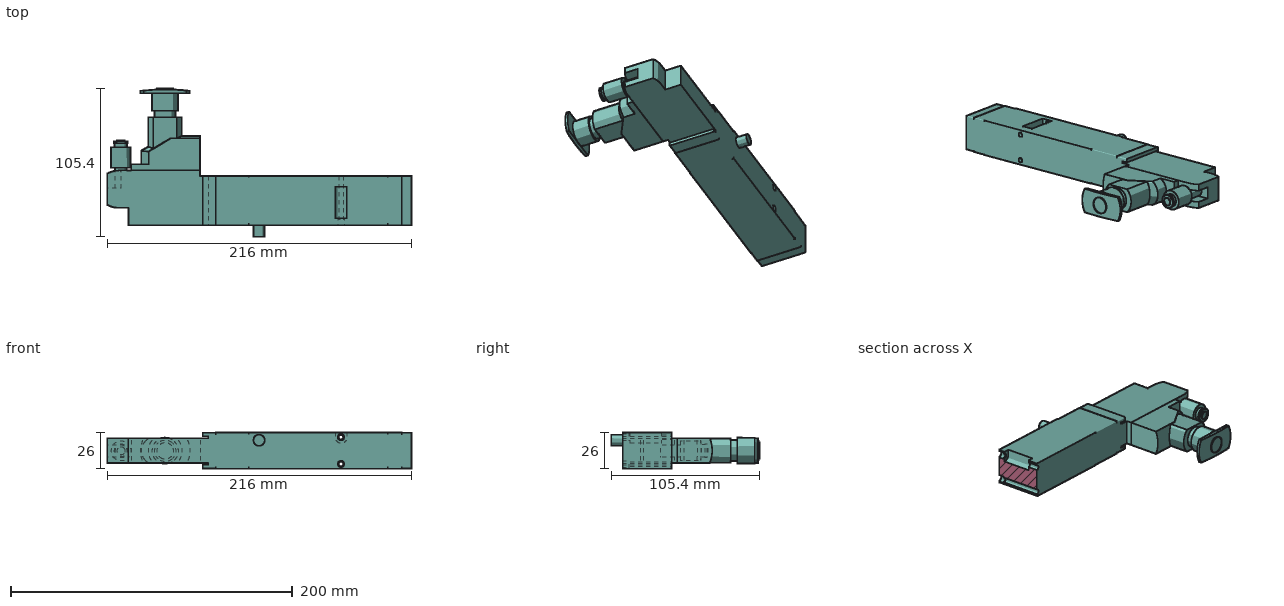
import cadquery as cq
import math

LENGTH = 216.0
BODY_HEIGHT = 26.0
BODY_DEPTH = 35.0
BODY_START = 67.8
CAP_LEFT_END = 76.9
CAP_RIGHT_START = 208.8
CAP_STEP = 0.2
ROUND_LEFT_END = 100.5
ROUND_RIGHT_START = 199.0
EDGE_RADIUS = 1.0
BACK_EDGE_RADIUS = 0.6

RELIEF_DEPTH = 3.9
LIP_INNER_HEIGHT = 20.0

PILOT_HEIGHT = 17.7
PILOT_DEPTH = 38.9
PILOT_END = 65.8
SHOULDER_X = 15.1
NOSE_FRONT_Y = 12.3
NOSE_ROUND_RUN = 8.2
NOSE_ROUND_RISE = 2.2

PIN_DIAMETER = 8.0
PIN_LENGTH = 8.2
PIN_X = 107.7
PIN_Z = 7.3
HOLE_DIAMETER = 3.2
COUNTERBORE_DIAMETER = 4.5
COUNTERBORE_DEPTH = 4.3
HOLE_X = 165.8
HOLE_Z = 9.5
GROOVE_WIDTH = 8.5
GROOVE_DEPTH = 7.5
GROOVE_START_Y = 5.2
GROOVE_LENGTH = 22.0

SCREW_X = 9.7
SHANK_DIAMETER = 8.5
SLOT_FLOOR_Y = 26.8
KNURL_DIAMETER = 14.0
KNURL_START_Y = 40.8
KNURL_END_Y = 55.5
SCREW_NECK_DIAMETER = 9.0
COLLAR_DIAMETER = 9.7
COLLAR_START_Y = 58.0
COLLAR_END_Y = 59.5
SCREW_TIP_DIAMETER = 5.6
SCREW_TIP_END_Y = 60.2

FLANGE_START = 17.0
FLANGE_END_Y = 43.5
BLOCK_NOSE_X = 24.2
BLOCK_END_Y = 63.5
NOSE_CROWN = 5.5
END_CROWN = 1.7
SLANT_CROWN = 3.2
SLANT_START = (29.4, 52.2)
SLANT_END = (45.3, 61.7)

KNOB_X = 41.0
GUIDE_DIAMETER = 24.0
GUIDE_THICKNESS = 17.3
GUIDE_END_Y = 76.6
NECK_DIAMETER = 15.1
NECK_END_Y = 81.2
STEM_DIAMETER = 18.5
STEM_END_Y = 93.5
CAP_DIAMETER = 35.2
CAP_RIM_HEIGHT = 2.0
DOME_END_Y = 96.5
BUTTON_DIAMETER = 11.7
CAP_END_Y = 97.2


def box(x_range, y_range, z_range):
    """Box between the given (low, high) limits."""
    (x0, x1), (y0, y1), (z0, z1) = x_range, y_range, z_range
    return cq.Workplane("XY").box(x1 - x0, y1 - y0, z1 - z0, centered=False).translate((x0, y0, z0))


def centred(height):
    """Limits of a span that is centred on the middle plane."""
    return (-height / 2, height / 2)


def cylinder_y(x, z, y0, y1, diameter):
    """Cylinder along Y from y0 to y1."""
    plane = cq.Plane(origin=(x, y0, z), xDir=(1, 0, 0), normal=(0, 1, 0))
    return cq.Workplane(plane).circle(diameter / 2).extrude(y1 - y0)


def rounded_zone(x0, x1, height, back_radius):
    """Stretch of the valve body whose four long edges are rounded."""
    zone = box((x0, x1), (0, BODY_DEPTH), centred(height))
    zone = zone.faces("<Y").edges("|X").fillet(EDGE_RADIUS)
    return zone.faces(">Y").edges("|X").fillet(back_radius)


def valve_body():
    """Full-height body: a plain middle, rounded zones and slightly lower cover zones."""
    cap_height = BODY_HEIGHT - 2 * CAP_STEP
    body = box((ROUND_LEFT_END, ROUND_RIGHT_START), (0, BODY_DEPTH), centred(BODY_HEIGHT))
    for x0, x1 in ((CAP_LEFT_END, ROUND_LEFT_END), (ROUND_RIGHT_START, CAP_RIGHT_START)):
        body = body.union(rounded_zone(x0, x1, BODY_HEIGHT, BACK_EDGE_RADIUS))
    for x0, x1 in ((BODY_START, CAP_LEFT_END), (CAP_RIGHT_START, LENGTH)):
        body = body.union(rounded_zone(x0, x1, cap_height, EDGE_RADIUS))
    relief = box((BODY_START, BODY_START + RELIEF_DEPTH), (0, BODY_DEPTH), centred(LIP_INNER_HEIGHT))
    return body.cut(relief)


def pilot_section():
    """Thinner left part with a rounded nose and a slot for the screw shank."""
    front_y = NOSE_FRONT_Y + NOSE_ROUND_RISE
    back_y = PILOT_DEPTH - NOSE_ROUND_RISE
    radius = (NOSE_ROUND_RUN**2 + NOSE_ROUND_RISE**2) / (2 * NOSE_ROUND_RISE)
    mid_x = NOSE_ROUND_RUN / 2
    mid_drop = radius - math.sqrt(radius**2 - mid_x**2)
    outline = (
        cq.Workplane("XY")
        .moveTo(SHOULDER_X, 0)
        .lineTo(BODY_START + RELIEF_DEPTH, 0)
        .lineTo(BODY_START + RELIEF_DEPTH, BODY_DEPTH)
        .lineTo(PILOT_END, BODY_DEPTH)
        .lineTo(PILOT_END, PILOT_DEPTH)
        .lineTo(NOSE_ROUND_RUN, PILOT_DEPTH)
        .threePointArc((mid_x, PILOT_DEPTH - mid_drop), (0, back_y))
        .lineTo(0, front_y)
        .threePointArc((mid_x, NOSE_FRONT_Y + mid_drop), (NOSE_ROUND_RUN, NOSE_FRONT_Y))
        .lineTo(SHOULDER_X, NOSE_FRONT_Y)
        .close()
    )
    pilot = outline.extrude(PILOT_HEIGHT / 2, both=True)
    slot = box((0, SCREW_X), (SLOT_FLOOR_Y, PILOT_DEPTH), centred(SHANK_DIAMETER))
    return pilot.cut(slot)


def locking_screw():
    """Stepped round screw; each step ends where the next one begins."""
    steps = (
        (SHANK_DIAMETER, KNURL_START_Y),
        (KNURL_DIAMETER, KNURL_END_Y),
        (SCREW_NECK_DIAMETER, COLLAR_START_Y),
        (COLLAR_DIAMETER, COLLAR_END_Y),
        (SCREW_TIP_DIAMETER, SCREW_TIP_END_Y),
    )
    screw = cq.Workplane("XY")
    start_y = SLOT_FLOOR_Y
    for diameter, end_y in steps:
        screw = screw.union(cylinder_y(SCREW_X, 0, start_y, end_y, diameter))
        start_y = end_y
    return screw


def groove():
    """Round-bottomed groove along Y, open at the top face."""
    radius = GROOVE_WIDTH / 2
    top = BODY_HEIGHT / 2
    centre_z = top - GROOVE_DEPTH + radius
    y_range = (GROOVE_START_Y, GROOVE_START_Y + GROOVE_LENGTH)
    upper = box((HOLE_X - radius, HOLE_X + radius), y_range, (centre_z, top))
    return upper.union(cylinder_y(HOLE_X, centre_z, *y_range, GROOVE_WIDTH))


def counterbored_hole(z):
    """Through hole along Y with a counterbore at the -Y face."""
    bore = cylinder_y(HOLE_X, z, 0, BODY_DEPTH, HOLE_DIAMETER)
    return bore.union(cylinder_y(HOLE_X, z, 0, COUNTERBORE_DEPTH, COUNTERBORE_DIAMETER))


def make_valve():
    valve = valve_body().union(pilot_section()).union(locking_screw())
    valve = valve.union(cylinder_y(PIN_X, PIN_Z, -PIN_LENGTH, 0, PIN_DIAMETER))
    valve = valve.cut(groove())
    for z in (-HOLE_Z, HOLE_Z):
        valve = valve.cut(counterbored_hole(z))
    return valve


def crowned_slab(edge_point, outward, crown):
    """Large slab ending in a face that bulges by `crown` along `outward` at mid-height.

    The face meets the top and bottom of the block at `edge_point` (X, Y).
    """
    plane = cq.Plane(
        origin=(*edge_point, 0),
        xDir=(*outward, 0),
        normal=(outward[1], -outward[0], 0),
    )
    half = PILOT_HEIGHT / 2
    section = (
        cq.Workplane(plane)
        .moveTo(-LENGTH, -half)
        .lineTo(0, -half)
        .threePointArc((crown, 0), (0, half))
        .lineTo(-LENGTH, half)
        .close()
    )
    return section.extrude(LENGTH, both=True)


def override_block():
    """Block with crowned nose, slant and +Y faces on a flat flange."""
    block = box((0, PILOT_END), (PILOT_DEPTH, GUIDE_END_Y), centred(PILOT_HEIGHT))
    run = SLANT_END[0] - SLANT_START[0]
    rise = SLANT_END[1] - SLANT_START[1]
    slant = math.hypot(run, rise)
    faces = (
        ((BLOCK_NOSE_X + NOSE_CROWN, PILOT_DEPTH), (-1, 0), NOSE_CROWN),
        ((PILOT_END, BLOCK_END_Y - END_CROWN), (0, 1), END_CROWN),
        (SLANT_START, (-rise / slant, run / slant), SLANT_CROWN),
    )
    for edge_point, outward, crown in faces:
        block = block.intersect(crowned_slab(edge_point, outward, crown))
    flange = box((FLANGE_START, PILOT_END), (PILOT_DEPTH, FLANGE_END_Y), centred(PILOT_HEIGHT))
    return block.union(flange)


def flattened(shape, thickness):
    """Trim a shape to two flats that are `thickness` apart."""
    return shape.intersect(box((0, LENGTH), (0, LENGTH), centred(thickness)))


def knob_cap():
    """Domed disc with two flats and a raised round button."""
    radius = CAP_DIAMETER / 2
    rim_y = STEM_END_Y + CAP_RIM_HEIGHT
    dome = DOME_END_Y - rim_y
    dome_radius = (radius**2 + dome**2) / (2 * dome)
    mid_y = DOME_END_Y - dome_radius + math.sqrt(dome_radius**2 - (radius / 2) ** 2)
    profile = (
        cq.Workplane("XY")
        .moveTo(0, STEM_END_Y)
        .lineTo(radius, STEM_END_Y)
        .lineTo(radius, rim_y)
        .threePointArc((radius / 2, mid_y), (0, DOME_END_Y))
        .close()
    )
    cap = profile.revolve(360, (0, 0, 0), (0, 1, 0)).translate((KNOB_X, 0, 0))
    button = cylinder_y(KNOB_X, 0, STEM_END_Y, CAP_END_Y, BUTTON_DIAMETER)
    return flattened(cap, PILOT_HEIGHT).union(button)


def make_override():
    guide = cylinder_y(KNOB_X, 0, FLANGE_END_Y, GUIDE_END_Y, GUIDE_DIAMETER)
    guide = flattened(guide, GUIDE_THICKNESS)
    neck = cylinder_y(KNOB_X, 0, GUIDE_END_Y, NECK_END_Y, NECK_DIAMETER)
    stem = cylinder_y(KNOB_X, 0, NECK_END_Y, STEM_END_Y, STEM_DIAMETER)
    return override_block().union(guide).union(neck).union(stem).union(knob_cap())


valve = make_valve()
override = make_override()

result = cq.Compound.makeCompound([valve.val(), override.val()])